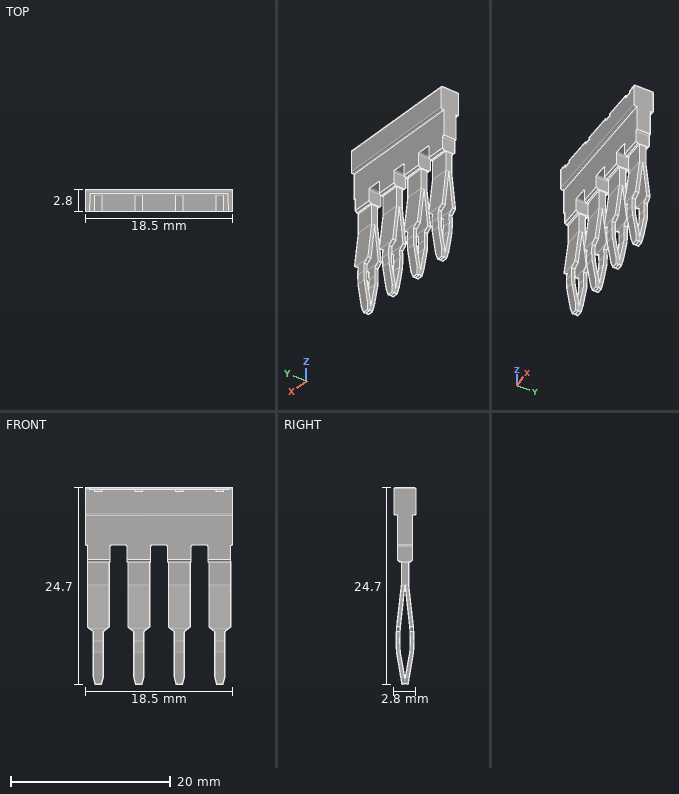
import cadquery as cq

pole_count = 4
pitch = 5.1
total_height = 24.72
first_pole_x = -pitch * (pole_count - 1) / 2
pole_positions = [first_pole_x + pitch * i for i in range(pole_count)]

housing_length = 18.5
head_depth = 2.8
head_height = 3.44
head_round = 0.2
body_depth = 1.93
body_height = 7.22
housing_height = 9.32
end_shoulder = 0.25
slot_width = 2.1
corner_radius = 0.17
foot_chamfer = 0.27

recess_depth = 0.2
recess_border = 0.5
recess_back_inset = 0.6
recess_corner_radius = 0.12
notch_width = 0.96
notch_depth = 0.5
notch_back_border = 0.77

contact_width = 2.77
contact_thickness = 0.95
prong_thickness = 0.5
blade_width = 1.29
tip_width = 0.82
split_z = 12.48
shoulder_top_z = 7.22
knee_z = 7.05
blade_top_z = 6.62
bulge_top_z = 5.45
bulge_bottom_z = 4.08
taper_z = 0.95
knee_reach = 1.1
bulge_top_reach = 1.14
bulge_bottom_reach = 1.1
tip_reach = 0.4
tip_notch = 0.07
prong_join_z = 0.75

head_bottom_z = total_height - head_height
body_bottom_z = total_height - body_height
housing_bottom_z = total_height - housing_height
foot_height = body_bottom_z - housing_bottom_z


def block(length, depth, bottom_z, height):
    """Box centred on the Z axis in X and Y, standing on bottom_z."""
    return cq.Workplane("XY", origin=(0, 0, bottom_z)).box(length, depth, height, centered=(True, True, False))


def make_slot(width, center_x):
    """Cutter between two feet, with its two upper edges rounded."""
    slot = block(width, head_depth, housing_bottom_z, foot_height)
    return slot.edges("|Y and >Z").fillet(corner_radius).translate((center_x, 0, 0))


def make_end_cut(side):
    """Cutter for the shoulder at one end (side is -1 or 1), with its inner upper edge rounded."""
    overhang = 2 * corner_radius
    width = end_shoulder + overhang
    center_x = side * (housing_length / 2 - end_shoulder + width / 2)
    return make_slot(width, center_x)


def make_recess():
    """Shallow marking recess whose ends converge slightly towards the back."""
    front_half = housing_length / 2 - recess_border
    back_half = housing_length / 2 - recess_back_inset
    front_y = -head_depth / 2
    back_y = head_depth / 2 - recess_border
    outline = [(-front_half, front_y), (front_half, front_y), (back_half, back_y), (-back_half, back_y)]
    floor = cq.Workplane("XY", origin=(0, 0, total_height - recess_depth))
    recess = floor.polyline(outline).close().extrude(recess_depth)
    return recess.edges("|Z and >Y").fillet(recess_corner_radius)


def make_notch(center_x):
    """Ramp that deepens from the recess floor to the front face of the head."""
    front_y = -head_depth / 2
    back_y = head_depth / 2 - notch_back_border
    floor_z = total_height - recess_depth
    outline = [(back_y, floor_z), (front_y, total_height - notch_depth), (front_y, floor_z)]
    start = cq.Workplane("YZ", origin=(center_x - notch_width / 2, 0, 0))
    return start.polyline(outline).close().extrude(notch_width)


def make_housing():
    head = block(housing_length, head_depth, head_bottom_z, head_height)
    head = head.edges("|X").fillet(head_round)
    body = block(housing_length, body_depth, housing_bottom_z, housing_height - head_height)
    body = body.edges("|X and <Z").chamfer(foot_chamfer)
    for left_pole_x in pole_positions[:-1]:
        body = body.cut(make_slot(slot_width, left_pole_x + pitch / 2))
    for side in (-1, 1):
        body = body.cut(make_end_cut(side))
    housing = head.union(body).cut(make_recess())
    for pole_x in pole_positions:
        housing = housing.cut(make_notch(pole_x))
    return housing


def make_contact(center_x):
    """Flat shank that splits into two sprung prongs, trimmed to a blade with a tapered tip."""
    bends = [(knee_reach, knee_z), (bulge_top_reach, bulge_top_z), (bulge_bottom_reach, bulge_bottom_z)]
    inner_bends = [(reach - prong_thickness, z) for reach, z in reversed(bends)]
    outer_edge = [(contact_thickness / 2, split_z), *bends, (tip_reach, 0)]
    inner_edge = [(0, tip_notch), (0, prong_join_z), *inner_bends, (0, split_z)]

    right_half = [
        (contact_width / 2, housing_bottom_z),
        (contact_width / 2, shoulder_top_z),
        (blade_width / 2, blade_top_z),
        (blade_width / 2, taper_z),
        (tip_width / 2, 0),
    ]
    left_half = [(-x, z) for x, z in reversed(right_half)]
    silhouette = cq.Workplane("XZ").polyline(right_half + left_half).close().extrude(head_depth, both=True)

    start = cq.Workplane("YZ", origin=(-contact_width / 2, 0, 0))
    back_prong = start.polyline(outer_edge + inner_edge).close().extrude(contact_width).intersect(silhouette)
    front_prong = back_prong.mirror("XZ")
    shank = block(contact_width, contact_thickness, split_z, housing_bottom_z - split_z)
    contact = shank.union(back_prong, clean=False).union(front_prong, clean=False)
    return contact.translate((center_x, 0, 0))


housing = make_housing()
contacts = [make_contact(pole_x).val() for pole_x in pole_positions]
result = cq.Compound.makeCompound([housing.val(), *contacts])